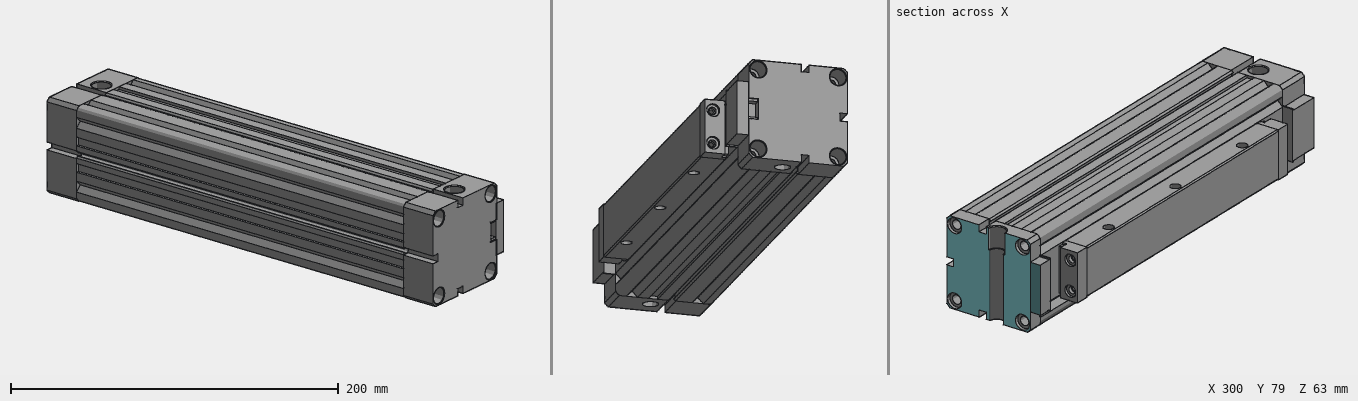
import cadquery as cq

total_length = 300.0
body_size = 63.0
half_length = total_length / 2
half_body = body_size / 2
reach = 2 * total_length

cap_length = 23.0
cap_chamfer = 2.5
cap_slot_width = 5.0
cap_slot_depth = 4.8
side_slot_offset = -4.5
bolt_offset = 25.5
bolt_hole_diameter = 6.3
bolt_head_diameter = 10.2
bolt_mouth_diameter = 11.0
bolt_head_depth = 15.0
port_from_end = 13.0
port_y = 6.0
port_diameter = 10.0
port_thread_diameter = 12.0
port_thread_depth = 15.0
port_mouth_diameter = 13.2
band_recess_height = 6.0
band_recess_width = 13.2
band_recess_depth = 1.2
band_slot_width = 10.2
band_slot_depth = 6.0

barrel_length = total_length - 2 * cap_length
barrel_radius = 4.0
vee_offset = 21.0
vee_depth = 3.5
groove_width = 5.7
groove_depth = 1.8
front_groove_offset = 8.7
side_groove_offset = 7.5
keyhole_neck = 2.0
keyhole_mouth = 4.5
keyhole_diameter = 4.2
keyhole_depth = 5.0

clamp_inset = 0.5
clamp_height = 7.5
clamp_width = 34.2
clamp_flange_width = 36.0
clamp_flange_thickness = 1.0

carriage_length = 220.2
carriage_top = 47.5
carriage_width = 34.2
carriage_chamfer = 1.0
cover_length = 10.0
cover_underside = 34.5
cover_foot_inset = 6.5
lip_width = 31.8
lip_top_inset = 4.2
lip_foot_inset = 2.7
mount_y = 42.0
mount_hole_diameter = 7.0
mount_spacing = 70.0
screw_offset = 10.5
screw_steps = [(8.0, 1.8), (4.8, 4.5), (3.0, cover_length)]
carriage_mid_length = carriage_length - 2 * cover_length


def block(x_range, y_range, width):
    """Box over the given X and Y ranges, centred on Z = 0."""
    length = x_range[1] - x_range[0]
    height = y_range[1] - y_range[0]
    box = cq.Workplane("XY").box(length, height, width, centered=(False, False, True))
    return box.translate((x_range[0], y_range[0], 0))


def rod_x(diameter, x_start, length, y, z):
    """Cylinder along +X."""
    return cq.Workplane("YZ", origin=(x_start, y, z)).circle(diameter / 2).extrude(length)


def mirrored(body):
    """Copy of a body at the +X end."""
    return body.mirror("YZ")


def face_cut(shape, face_angle, offset):
    """Place a cut drawn for the +Z face on the face turned by face_angle about X."""
    return shape.translate((0, offset, 0)).rotate((0, 0, 0), (1, 0, 0), face_angle)


top_angle = 0
back_angle = -90
front_angle = 90
bottom_angle = 180

slot_places = [
    (top_angle, side_slot_offset),
    (bottom_angle, -side_slot_offset),
    (front_angle, 0),
]


def vee_cut(depth):
    """Groove along X with 45 degree walls, so its half width equals its depth."""
    points = [(-depth, half_body), (0, half_body - depth), (depth, half_body)]
    return cq.Workplane("YZ").polyline(points).close().extrude(reach / 2, both=True)


def strip_cut(width, depth):
    strip = cq.Workplane("XY").box(reach, width, depth)
    return strip.translate((0, 0, half_body - depth / 2))


def keyhole_cut():
    """Round sensor slot with a narrow neck and a bevelled mouth."""
    center_depth = keyhole_depth - keyhole_diameter / 2
    bore = rod_x(keyhole_diameter, -half_length, total_length, 0, half_body - center_depth)
    neck = strip_cut(keyhole_neck, center_depth)
    return neck.union(bore).union(vee_cut(keyhole_mouth / 2))


def make_barrel():
    barrel = cq.Workplane("XY").box(barrel_length, body_size, body_size)
    barrel = barrel.edges("|X").fillet(barrel_radius)
    for angle in (top_angle, back_angle, front_angle, bottom_angle):
        for side in (-1, 1):
            barrel = barrel.cut(face_cut(vee_cut(vee_depth), angle, side * vee_offset))
    groove_places = [
        (top_angle, side_groove_offset),
        (bottom_angle, -side_groove_offset),
        (front_angle, front_groove_offset),
        (front_angle, -front_groove_offset),
    ]
    for angle, offset in groove_places:
        barrel = barrel.cut(face_cut(strip_cut(groove_width, groove_depth), angle, offset))
    for angle, offset in slot_places:
        barrel = barrel.cut(face_cut(keyhole_cut(), angle, offset))
    return barrel


def bolt_holes():
    """Counterbored corner holes with a 45 degree countersink at the mouth."""
    sink_depth = (bolt_mouth_diameter - bolt_head_diameter) / 2
    holes = cq.Workplane("XY")
    for y in (-bolt_offset, bolt_offset):
        for z in (-bolt_offset, bolt_offset):
            holes = holes.union(rod_x(bolt_hole_diameter, -half_length, cap_length, y, z))
            holes = holes.union(rod_x(bolt_head_diameter, -half_length, bolt_head_depth, y, z))
            mouth = cq.Workplane("YZ", origin=(-half_length, y, z)).circle(bolt_mouth_diameter / 2)
            holes = holes.union(mouth.extrude(sink_depth, taper=45))
    return holes


def port_cut():
    """Through port along Z: a threaded bore from the +Z face with a 45 degree countersink."""
    bore = port_diameter / 2
    thread = port_thread_diameter / 2
    mouth = port_mouth_diameter / 2
    thread_end = half_body - port_thread_depth
    sink_end = half_body - (mouth - thread)
    outline = [
        (0, -half_body),
        (bore, -half_body),
        (bore, thread_end),
        (thread, thread_end),
        (thread, sink_end),
        (mouth, half_body),
        (0, half_body),
    ]
    port = cq.Workplane("XZ").polyline(outline).close().revolve(360, (0, 0, 0), (0, 1, 0))
    return port.translate((-half_length + port_from_end, port_y, 0))


def band_recess():
    """Stepped recess in the end face, open towards +Y."""
    y_range = (half_body - band_recess_height, half_body)
    shallow = block((-half_length, -half_length + band_recess_depth), y_range, band_recess_width)
    deep = block((-half_length, -half_length + band_slot_depth), y_range, band_slot_width)
    return shallow.union(deep)


def make_end_cap():
    x_range = (-half_length, -half_length + cap_length)
    cap = block(x_range, (-half_body, half_body), body_size)
    cap = cap.edges("|X").chamfer(cap_chamfer)
    for angle, offset in slot_places:
        cap = cap.cut(face_cut(strip_cut(cap_slot_width, cap_slot_depth), angle, offset))
    return cap.cut(bolt_holes()).cut(port_cut()).cut(band_recess())


def make_band_clamp():
    y_range = (half_body, half_body + clamp_height)
    inner_end = -half_length + cap_length
    clamp = block((-half_length + clamp_inset, inner_end), y_range, clamp_width)
    flange = block((inner_end - clamp_flange_thickness, inner_end), y_range, clamp_flange_width)
    return clamp.union(flange)


def make_carriage():
    half_mid = carriage_mid_length / 2
    carriage = block((-half_mid, half_mid), (half_body, carriage_top), carriage_width)
    carriage = carriage.faces(">Y").edges("|X").chamfer(carriage_chamfer)
    for x in (-mount_spacing, 0, mount_spacing):
        hole = cq.Workplane("XY").circle(mount_hole_diameter / 2).extrude(reach / 2, both=True)
        carriage = carriage.cut(hole.translate((x, mount_y, 0)))
    return carriage


def make_end_cover():
    """Cover on the -X end of the carriage, with a raked wiper lip on the barrel."""
    outer_x = -carriage_length / 2
    inner_x = outer_x + cover_length
    foot_x = outer_x + cover_foot_inset
    cover = block((outer_x, inner_x), (cover_underside, carriage_top), carriage_width)
    cover = cover.union(block((foot_x, inner_x), (half_body, cover_underside), carriage_width))
    lip_outline = [
        (outer_x + lip_top_inset, cover_underside),
        (outer_x + lip_foot_inset, half_body),
        (foot_x, half_body),
        (foot_x, cover_underside),
    ]
    lip = cq.Workplane("XY").polyline(lip_outline).close().extrude(lip_width / 2, both=True)
    cover = cover.union(lip)
    for z in (-screw_offset, screw_offset):
        for diameter, depth in screw_steps:
            cover = cover.cut(rod_x(diameter, outer_x, depth, mount_y, z))
    return cover


barrel = make_barrel()
carriage = make_carriage()
left_end_bodies = [make_end_cap(), make_band_clamp(), make_end_cover()]

solids = [barrel.val(), carriage.val()]
for body in left_end_bodies:
    solids.append(body.val())
    solids.append(mirrored(body).val())

result = cq.Compound.makeCompound(solids)